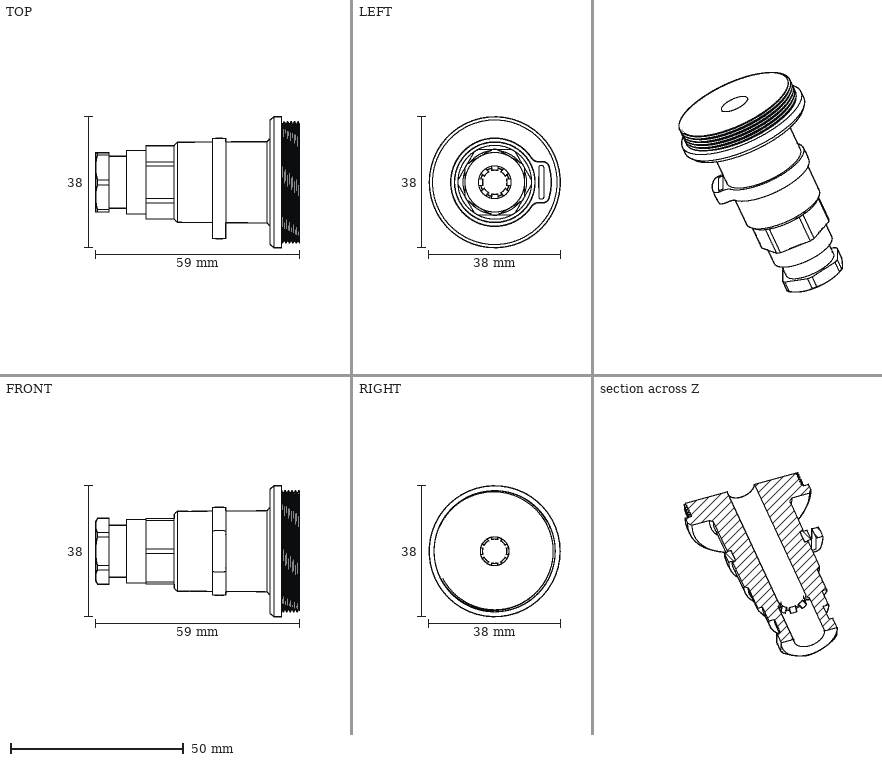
import cadquery as cq
import math


NUT_LENGTH = 3.9
NUT_FLATS = 17.2
NUT_CORNER_RADIUS = 9.55
NUT_BEVEL_ANGLE = 30
NUT_TURN = 0
NECK_RADIUS = 7.55
COLLAR_START = 8.9
COLLAR_RADIUS = 9.2

HEX_START = 14.5
HEX_FLATS = 19.05
HEX_CORNER_RADIUS = 10.6
HEX_TURN = 90

BARREL_START = 22.65
NOSE_RADIUS = 10.7
BARREL_FRONT_RADIUS = 11.6
BARREL_REAR_RADIUS = 11.8
BARREL_END = 49.55

FLANGE_START = 50.4
FLANGE_END = 53.75
FLANGE_DIAMETER = 37.95
FLANGE_RADIUS = FLANGE_DIAMETER / 2
FLANGE_BEVEL_LENGTH = 1.2
FLANGE_BEVEL_DEPTH = 0.95
ROOT_CONE_RADIUS = 12.7

TOTAL_LENGTH = 59.0
THREAD_RADIUS = 17.5
THREAD_PITCH = 1.0
THREAD_DEPTH = 0.6
THREAD_BASE_WIDTH = 0.8
THREAD_CREST_WIDTH = 0.1
THREAD_SINK = 0.05
THREAD_CORE_RADIUS = THREAD_RADIUS - THREAD_DEPTH

ENTRY_RADIUS = 4.7
BORE_RADIUS = 4.15
TOOTH_COUNT = 8
TOOTH_TIP_RADIUS = 3.5
TOOTH_WIDTH = 1.9
TOOTH_HEIGHT = ENTRY_RADIUS - TOOTH_TIP_RADIUS
ENTRY_DEPTH = HEX_START

RING_START = 33.75
RING_WIDTH = 3.9
RING_RADIUS = 12.8
RING_EDGE_DROP = 0.1
RING_BORE_RADIUS = NOSE_RADIUS
LUG_REACH = 16.4
LUG_HALF_HEIGHT = 6.0
LUG_CORNER_RADIUS = 2.0
LUG_ROOT_RADIUS = 2.1
SLOT_CENTER = 13.45
SLOT_WIDTH = 1.4
SLOT_HEIGHT = 9.6
SLOT_CORNER_RADIUS = 0.5


def plane_at(x):
    """Plane across the axis, with local x along Y and local y along Z."""
    return cq.Workplane("YZ", origin=(x, 0, 0))


def disc(start, end, radius):
    return plane_at(start).circle(radius).extrude(end - start)


def revolved(profile):
    """Solid of revolution about X from (x, radius) points."""
    return cq.Workplane("XY").polyline(profile).close().revolve(360, (0, 0, 0), (1, 0, 0))


def hexagon(start, end, flats, corner_radius, rotation):
    """Hexagonal prism with its corners rounded to a cylinder."""
    prism = plane_at(start).polygon(6, flats, circumscribed=True).extrude(end - start)
    prism = prism.rotate((0, 0, 0), (1, 0, 0), rotation)
    return prism.intersect(disc(start, end, corner_radius))


def clamping_nut():
    """Hexagon with flats facing +Y and -Y and a bevelled entry face."""
    nut = hexagon(0, NUT_LENGTH, NUT_FLATS, NUT_CORNER_RADIUS, NUT_TURN)
    face_radius = NUT_FLATS / 2
    bevel_depth = NUT_CORNER_RADIUS - face_radius
    bevel_length = bevel_depth * math.tan(math.radians(NUT_BEVEL_ANGLE))
    envelope = revolved([
        (0, 0),
        (0, face_radius),
        (bevel_length, NUT_CORNER_RADIUS),
        (NUT_LENGTH, NUT_CORNER_RADIUS),
        (NUT_LENGTH, 0),
    ])
    return nut.intersect(envelope)


def barrel_and_flange():
    return revolved([
        (BARREL_START, 0),
        (BARREL_START, NOSE_RADIUS),
        (BARREL_START + BARREL_FRONT_RADIUS - NOSE_RADIUS, BARREL_FRONT_RADIUS),
        (BARREL_END, BARREL_REAR_RADIUS),
        (FLANGE_START, ROOT_CONE_RADIUS),
        (FLANGE_START, FLANGE_RADIUS - FLANGE_BEVEL_DEPTH),
        (FLANGE_START + FLANGE_BEVEL_LENGTH, FLANGE_RADIUS),
        (FLANGE_END, FLANGE_RADIUS),
        (FLANGE_END, 0),
    ])


def threaded_end():
    """Core with a right-handed ridge, run out past both ends and trimmed flush with them."""
    overrun = THREAD_PITCH
    start = FLANGE_END - overrun
    length = TOTAL_LENGTH - FLANGE_END + 2 * overrun
    base_radius = THREAD_CORE_RADIUS - THREAD_SINK
    helix = cq.Wire.makeHelix(
        THREAD_PITCH, length, base_radius, cq.Vector(start, 0, 0), cq.Vector(1, 0, 0)
    )
    first = helix.startPoint()
    outward = cq.Vector(0, first.y, first.z).normalized()
    section_plane = cq.Plane(first, outward, cq.Vector(1, 0, 0).cross(outward))
    height = THREAD_DEPTH + THREAD_SINK
    ridge = (
        cq.Workplane(section_plane)
        .polyline([
            (0, -THREAD_BASE_WIDTH / 2),
            (height, -THREAD_CREST_WIDTH / 2),
            (height, THREAD_CREST_WIDTH / 2),
            (0, THREAD_BASE_WIDTH / 2),
        ])
        .close()
        .sweep(cq.Workplane(helix), isFrenet=True)
    )
    core = disc(start - overrun, start + length + overrun, THREAD_CORE_RADIUS)
    threaded_rod = core.union(ridge, clean=False)
    return threaded_rod.intersect(disc(FLANGE_END, TOTAL_LENGTH, FLANGE_RADIUS))


def clamping_teeth():
    """Teeth around the end of the entry bore, with sloping faces towards the entry."""
    tooth_start = ENTRY_DEPTH - TOOTH_HEIGHT
    crown = revolved([
        (tooth_start, ENTRY_RADIUS),
        (ENTRY_DEPTH, TOOTH_TIP_RADIUS),
        (ENTRY_DEPTH, ENTRY_RADIUS),
    ])
    spokes = (
        plane_at(tooth_start)
        .polarArray(ENTRY_RADIUS / 2, 0, 360, TOOTH_COUNT)
        .rect(ENTRY_RADIUS, TOOTH_WIDTH)
        .extrude(TOOTH_HEIGHT)
    )
    return crown.intersect(spokes)


def make_connector():
    body = (
        barrel_and_flange()
        .union(threaded_end())
        .union(clamping_nut())
        .union(disc(NUT_LENGTH, COLLAR_START, NECK_RADIUS))
        .union(disc(COLLAR_START, HEX_START, COLLAR_RADIUS))
        .union(hexagon(HEX_START, BARREL_START, HEX_FLATS, HEX_CORNER_RADIUS, HEX_TURN))
    )
    body = body.cut(disc(0, TOTAL_LENGTH, BORE_RADIUS))
    body = body.cut(disc(0, ENTRY_DEPTH, ENTRY_RADIUS))
    ring_groove = disc(RING_START, RING_START + RING_WIDTH, RING_RADIUS)
    ring_groove = ring_groove.cut(disc(RING_START, RING_START + RING_WIDTH, RING_BORE_RADIUS))
    return body.cut(ring_groove).union(clamping_teeth())


def ring_outline():
    """Mid-width outline: a circle blended into a lug on the -Y side."""
    root_center_z = LUG_HALF_HEIGHT + LUG_ROOT_RADIUS
    root_center_reach = math.sqrt((RING_RADIUS + LUG_ROOT_RADIUS) ** 2 - root_center_z**2)
    root_angle = math.atan2(root_center_z, root_center_reach)
    corner_center_z = LUG_HALF_HEIGHT - LUG_CORNER_RADIUS
    corner_center_reach = math.sqrt((LUG_REACH - LUG_CORNER_RADIUS) ** 2 - corner_center_z**2)
    corner_angle = math.atan2(corner_center_z, corner_center_reach)

    def polar(radius, angle, center_reach=0, center_z=0):
        return (-(center_reach + radius * math.cos(angle)), center_z + radius * math.sin(angle))

    def mirrored(point):
        return (point[0], -point[1])

    root_start = polar(RING_RADIUS, root_angle)
    root_middle_angle = (root_angle + math.pi + 3 * math.pi / 2) / 2
    root_middle = polar(LUG_ROOT_RADIUS, root_middle_angle, root_center_reach, root_center_z)
    root_end = (-root_center_reach, LUG_HALF_HEIGHT)
    corner_start = (-corner_center_reach, LUG_HALF_HEIGHT)
    corner_middle_angle = (corner_angle + math.pi / 2) / 2
    corner_middle = polar(LUG_CORNER_RADIUS, corner_middle_angle, corner_center_reach, corner_center_z)
    corner_end = polar(LUG_REACH, corner_angle)

    return (
        plane_at(RING_START + RING_WIDTH / 2)
        .moveTo(*root_start)
        .threePointArc(root_middle, root_end)
        .lineTo(*corner_start)
        .threePointArc(corner_middle, corner_end)
        .threePointArc((-LUG_REACH, 0), mirrored(corner_end))
        .threePointArc(mirrored(corner_middle), mirrored(corner_start))
        .lineTo(*mirrored(root_end))
        .threePointArc(mirrored(root_middle), mirrored(root_start))
        .threePointArc((RING_RADIUS, 0), root_start)
        .close()
    )


def make_strap_ring():
    half_width = RING_WIDTH / 2
    draft = math.degrees(math.atan2(RING_EDGE_DROP, half_width))
    rear_half = ring_outline().extrude(half_width, taper=draft)
    front_half = rear_half.mirror("YZ", (RING_START + half_width, 0, 0))
    bore = disc(RING_START, RING_START + RING_WIDTH, RING_BORE_RADIUS)
    slot = (
        plane_at(RING_START)
        .center(-SLOT_CENTER, 0)
        .rect(SLOT_WIDTH, SLOT_HEIGHT)
        .extrude(RING_WIDTH)
        .edges("|X")
        .fillet(SLOT_CORNER_RADIUS)
    )
    return rear_half.union(front_half).cut(bore).cut(slot)


connector = make_connector()
strap_ring = make_strap_ring()

result = cq.Compound.makeCompound([connector.val(), strap_ring.val()])